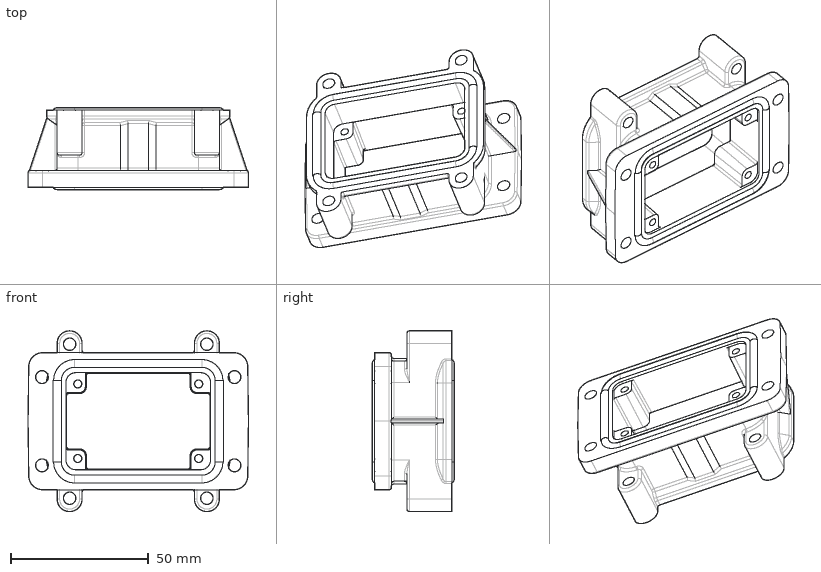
import cadquery as cq
import math

housing_depth = 28.0
flange_width = 80.0
flange_corner_width = 79.4
flange_height = 49.8
flange_thickness = 6.1
flange_corner_radius = 5.1
flange_edge_radius = 0.8
flange_hole_x = 34.9
flange_hole_z = 16.0
flange_hole_diameter = 4.6

body_width = 58.9
body_height = 43.5
body_corner_radius = 7.7
body_root_radius = 0.9

rim_width = 66.5
rim_height = 49.6
rim_corner_radius = 10.9
rim_thickness = 2.8
rim_slope_length = 2.7
rim_slope_angle = 55.0
rim_edge_radius = 1.3
slope_root_radius = 1.3
side_root_radius = 0.9

pad_base_width = 12.9
pad_top_width = 7.4
pad_height = 1.0

lug_x = 24.9
lug_width = 2 * (body_width / 2 - lug_x)
lug_top = 32.8
lug_front = 11.7
lug_edge_radius = 1.0
lug_root_radius = 0.9
lug_hole_diameter = 4.4
lug_hole_z = 27.9

rib_thickness = 1.4
rib_edge_radius = 0.4
rib_root_radius = 0.7
rib_rear = 25.0
rib_tip_x = 39.8

opening_width = 52.4
opening_height = 35.2
opening_corner_radius = 3.5
parting_y = 16.8
opening_draft = 0.8

boss_front = 1.0
boss_inner_x = 18.8
boss_inner_z = 10.0
boss_wall_overlap = 4.0
boss_corner_radius = 2.6
boss_root_radius = 0.8
boss_draft = 1.4
boss_hole_x = 21.9
boss_hole_z = 13.5
boss_hole_diameter = 2.8

bead_height = 0.9
bead_width = 2.8
bead_side_width = 3.1
bead_center_x = 29.3
bead_side_center_x = 29.4
bead_center_z = 21.0
bead_corner_radius = 6.2

slope_y = housing_depth - rim_thickness
slope_end_y = slope_y - rim_slope_length
embedded_y = flange_thickness - flange_edge_radius
lug_inner_x = lug_x - lug_width / 2

SELECTION_MARGIN = 0.04
MIRROR_SIGNS = [(sx, sz) for sx in (-1, 1) for sz in (-1, 1)]


def plane_at(y):
    """Sketch plane at depth y: local x = X, local y = -Z, extruding toward +Y."""
    return cq.Workplane(cq.Plane(origin=(0, y, 0), xDir=(1, 0, 0), normal=(0, 1, 0)))


def rounded_rectangle(y, width, height, radius):
    sketch = cq.Sketch().rect(width, height).vertices().fillet(radius)
    return plane_at(y).placeSketch(sketch)


def four_holes(x, z, diameter, start, length):
    points = [(sx * x, sz * z) for sx, sz in MIRROR_SIGNS]
    return plane_at(start).pushPoints(points).circle(diameter / 2).extrude(length)


def edges_inside(shape, low, high):
    """Edges lying completely inside the box between two corners, give or take a small margin."""
    lower = tuple(value - SELECTION_MARGIN for value in low)
    upper = tuple(value + SELECTION_MARGIN for value in high)
    return shape.edges(cq.selectors.BoxSelector(lower, upper, boundingbox=True))


def make_flange():
    """Plate whose left and right sides bulge slightly to a ridge at mid height."""
    ridge = flange_width / 2
    corner = flange_corner_width / 2
    top = flange_height / 2
    outline = [(ridge, 0), (corner, top), (-corner, top), (-ridge, 0), (-corner, -top), (corner, -top)]
    plate = plane_at(0).polyline(outline).close().extrude(flange_thickness)
    plate = plate.edges("|Y").edges(">Z or <Z").fillet(flange_corner_radius)
    return plate.faces(">Y").edges().fillet(flange_edge_radius)


def make_body():
    body = rounded_rectangle(embedded_y, body_width, body_height, body_corner_radius)
    return body.extrude(housing_depth - embedded_y)


def make_rim():
    """Straight rear rim and the slope that narrows from it toward the body."""
    rim = rounded_rectangle(slope_y, rim_width, rim_height, rim_corner_radius).extrude(rim_thickness)
    sketch = cq.Sketch().rect(rim_width, rim_height).vertices().fillet(rim_corner_radius)
    slope_plane = cq.Plane(origin=(0, slope_y, 0), xDir=(1, 0, 0), normal=(0, -1, 0))
    slope = cq.Workplane(slope_plane).placeSketch(sketch).extrude(rim_slope_length, taper=rim_slope_angle)
    return rim.union(slope)


def make_pads():
    """Bar through the body whose chamfered top and bottom stand out as the two pads."""
    top = body_height / 2 + pad_height
    base = body_height / 2
    half_base = pad_base_width / 2
    half_top = pad_top_width / 2
    outline = [
        (-half_base, base),
        (-half_top, top),
        (half_top, top),
        (half_base, base),
        (half_base, -base),
        (half_top, -top),
        (-half_top, -top),
        (-half_base, -base),
    ]
    return plane_at(flange_thickness).polyline(outline).close().extrude(slope_y - flange_thickness)


def make_lug(sign_x, sign_z):
    """Round-topped screw lug with a rounded front edge, in the quadrant given by the two signs."""
    radius = lug_width / 2
    center_z = lug_top - radius
    length = housing_depth - lug_front
    foot_z = body_height / 2 - body_corner_radius
    lug = (
        plane_at(lug_front)
        .moveTo(lug_x - radius, -foot_z)
        .lineTo(lug_x - radius, -center_z)
        .threePointArc((lug_x, -lug_top), (lug_x + radius, -center_z))
        .lineTo(lug_x + radius, -foot_z)
        .close()
        .extrude(length)
    )
    lug = lug.faces("<Y").edges("not <Z").fillet(lug_edge_radius)
    if sign_x < 0:
        lug = lug.mirror("YZ")
    if sign_z < 0:
        lug = lug.mirror("XY")
    return lug


def make_ribs():
    """Sloping ribs at mid height, from the rear rim down to the sides of the flange."""
    rim_x = rim_width / 2
    outline = [(-rib_tip_x, embedded_y), (rib_tip_x, embedded_y), (rim_x, rib_rear), (-rim_x, rib_rear)]
    rib = cq.Workplane("XY").polyline(outline).close().extrude(rib_thickness / 2, both=True)
    return rib.faces("<X or >X").edges("#Z").edges("not |Y").fillet(rib_edge_radius)


def make_rib_root(sign_x):
    """Strip with two hollow sides that rounds the corners between a rib and its side wall."""
    wall_x = sign_x * body_width / 2
    outer_x = wall_x + sign_x * rib_root_radius
    inner_x = wall_x - sign_x * rib_root_radius
    rib_z = rib_thickness / 2
    wall_z = rib_z + rib_root_radius
    arc_inset = rib_root_radius * (1 - math.sqrt(0.5))
    arc_x = wall_x + sign_x * arc_inset
    arc_z = rib_z + arc_inset
    return (
        plane_at(embedded_y)
        .moveTo(inner_x, -wall_z)
        .lineTo(wall_x, -wall_z)
        .threePointArc((arc_x, -arc_z), (outer_x, -rib_z))
        .lineTo(outer_x, rib_z)
        .threePointArc((arc_x, arc_z), (wall_x, wall_z))
        .lineTo(inner_x, wall_z)
        .close()
        .extrude(slope_end_y + rib_root_radius - embedded_y)
    )


def make_boss(sign_x, sign_z):
    """Corner boss that narrows with draft from the parting plane to its front."""
    width = opening_width / 2 + boss_wall_overlap - boss_inner_x
    height = opening_height / 2 + boss_wall_overlap - boss_inner_z
    center_x = sign_x * (boss_inner_x + width / 2)
    center_z = sign_z * (boss_inner_z + height / 2)
    sketch = cq.Sketch().rect(width, height).vertices().fillet(boss_corner_radius)
    rear_plane = cq.Plane(origin=(center_x, parting_y, center_z), xDir=(1, 0, 0), normal=(0, -1, 0))
    return cq.Workplane(rear_plane).placeSketch(sketch).extrude(parting_y - boss_front, taper=boss_draft)


def make_opening_half(face_y, inward):
    """Half of the opening, narrowing from an outer face to the parting plane."""
    plane = cq.Plane(origin=(0, face_y, 0), xDir=(1, 0, 0), normal=(0, inward, 0))
    sketch = cq.Sketch().rect(opening_width, opening_height).vertices().fillet(opening_corner_radius)
    return cq.Workplane(plane).placeSketch(sketch).extrude(abs(parting_y - face_y), taper=opening_draft)


def make_opening():
    """Space inside the housing, with the corner bosses left out and their long roots rounded."""
    front_half = make_opening_half(0, 1)
    for sign_x, sign_z in MIRROR_SIGNS:
        front_half = front_half.cut(make_boss(sign_x, sign_z))
    for sign_x, sign_z in MIRROR_SIGNS:
        side_root = (sign_x * opening_width / 2, parting_y / 2, sign_z * boss_inner_z)
        wall_root = (sign_x * boss_inner_x, parting_y / 2, sign_z * opening_height / 2)
        for root in (side_root, wall_root):
            edge = front_half.edges(cq.selectors.NearestToPointSelector(root))
            front_half = edge.fillet(boss_root_radius)
    return front_half.union(make_opening_half(housing_depth, -1))


def bead_section_radius(width):
    """Radius of the round section that shows the given width and height above a face."""
    return (width**2 / 4 + bead_height**2) / (2 * bead_height)


def make_bead(face_y, outward):
    """Round bead along a rounded rectangle, with slightly wider straight sides."""
    radius = bead_section_radius(bead_width)
    center_y = face_y + outward * (bead_height - radius)
    straight_x = bead_center_x - bead_corner_radius
    straight_z = bead_center_z - bead_corner_radius
    arc_reach = bead_corner_radius * math.sqrt(0.5)
    path = (
        plane_at(center_y)
        .moveTo(-bead_center_x, -straight_z)
        .threePointArc((-straight_x - arc_reach, -straight_z - arc_reach), (-straight_x, -bead_center_z))
        .lineTo(straight_x, -bead_center_z)
        .threePointArc((straight_x + arc_reach, -straight_z - arc_reach), (bead_center_x, -straight_z))
    )
    section = cq.Workplane("XY", origin=(-bead_center_x, center_y, straight_z)).circle(radius)
    upper_run = section.sweep(path)

    side_radius = bead_section_radius(bead_side_width)
    side_y = face_y + outward * (bead_height - side_radius)
    sides = (
        cq.Workplane("XY")
        .pushPoints([(-bead_side_center_x, side_y), (bead_side_center_x, side_y)])
        .circle(side_radius)
        .extrude(straight_z, both=True)
    )
    return upper_run, upper_run.mirror("XY"), sides


def round_shoulder(shell):
    """Round the convex edge where the rear rim turns into its slope."""
    edges = edges_inside(shell, (-rim_width, slope_y, -rim_height), (rim_width, slope_y, rim_height))
    return edges.fillet(rim_edge_radius)


def round_slope_roots(shell):
    """Blend the slope into the upper and lower walls and pads, between the lugs."""
    low = (-lug_inner_x, slope_end_y, -rim_height / 2)
    high = (lug_inner_x, slope_y - rim_edge_radius / 2, rim_height / 2)
    candidates = edges_inside(shell, low, high).vals()
    across = [edge for edge in candidates if edge.BoundingBox().xlen > rim_edge_radius]
    return shell.newObject(across).fillet(slope_root_radius)


def round_lug_roots(shell):
    """Blend the inner side of every lug into the body, the slope and the rim."""
    for sign_x, sign_z in MIRROR_SIGNS:
        x = sign_x * lug_inner_x
        heights = sorted((sign_z * body_height / 2, sign_z * rim_height / 2))
        roots = edges_inside(shell, (x, lug_front, heights[0]), (x, housing_depth, heights[1]))
        shell = roots.fillet(lug_root_radius)
    return shell


def round_side_roots(shell):
    """Blend the slope and rim into the outer side walls, which run flush with the lugs."""
    for sign_x in (-1, 1):
        x = sign_x * body_width / 2
        reach = rim_height / 2 - 2 * rim_edge_radius
        roots = edges_inside(shell, (x, slope_end_y, -reach), (x, housing_depth, reach))
        shell = roots.fillet(side_root_radius)
    return shell


def round_flange_root(shell):
    """Blend the body and its pads into the rear face of the flange."""
    half_height = body_height / 2 + pad_height
    y = flange_thickness
    roots = edges_inside(shell, (-body_width / 2, y, -half_height), (body_width / 2, y, half_height))
    return roots.fillet(body_root_radius)


shell = round_shoulder(make_body().union(make_rim()))
for sign_x, sign_z in MIRROR_SIGNS:
    shell = shell.union(make_lug(sign_x, sign_z))
shell = shell.union(make_pads())
shell = round_slope_roots(shell)
shell = round_lug_roots(shell)
shell = round_side_roots(shell)
shell = round_flange_root(shell.union(make_flange()))
shell = shell.union(make_ribs())
for sign_x in (-1, 1):
    shell = shell.union(make_rib_root(sign_x))

shell = shell.cut(make_opening())

lug_length = housing_depth - lug_front
shell = shell.cut(four_holes(lug_x, lug_hole_z, lug_hole_diameter, lug_front, lug_length))
shell = shell.cut(four_holes(flange_hole_x, flange_hole_z, flange_hole_diameter, 0, flange_thickness))
shell = shell.cut(four_holes(boss_hole_x, boss_hole_z, boss_hole_diameter, 0, housing_depth))

for face_y, outward in ((0, -1), (housing_depth, 1)):
    for piece in make_bead(face_y, outward):
        shell = shell.union(piece)

result = shell